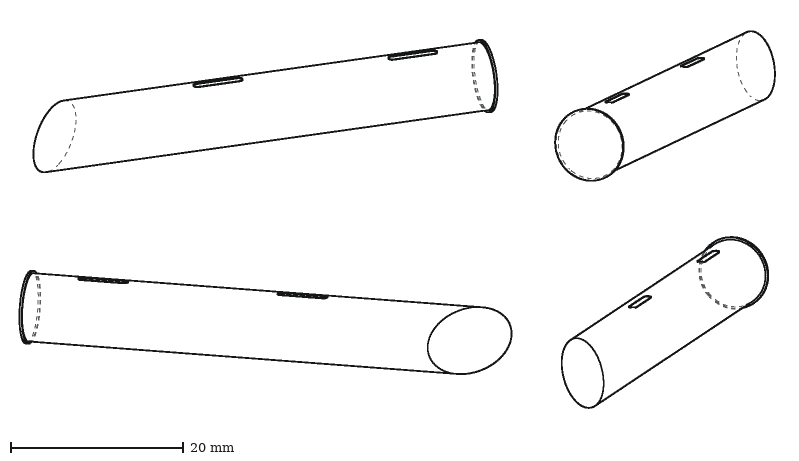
import cadquery as cq

length = 57.0
body_diameter = 8.0
body_radius = body_diameter / 2
rim_diameter = 8.5
rim_thickness = 0.3

groove_length = 6.0
groove_width = 0.9
groove_depth = 0.1
groove_starts = (6.0, 29.9)


def make_body():
    """Cylinder whose tip is cut at 45 degrees across X, leaving the point on the +X side."""
    cylinder = cq.Workplane("XZ").circle(body_radius).extrude(length)
    outline = (
        cq.Workplane("XY")
        .moveTo(-body_radius, 0)
        .lineTo(body_radius, 0)
        .lineTo(body_radius, -length)
        .lineTo(-body_radius, body_diameter - length)
        .close()
        .extrude(body_radius, both=True)
    )
    return cylinder.intersect(outline)


def make_rim():
    """Thin collar at the blunt end."""
    return cq.Workplane("XZ").circle(rim_diameter / 2).extrude(rim_thickness)


def make_grooves():
    """Cutters for the row of shallow grooves, all opening upward."""
    centers = [(0, -(start + groove_length / 2)) for start in groove_starts]
    return (
        cq.Workplane("XY")
        .workplane(offset=body_radius - groove_depth)
        .pushPoints(centers)
        .slot2D(groove_length, groove_width, 90)
        .extrude(body_radius)
    )


result = make_body().union(make_rim()).cut(make_grooves())